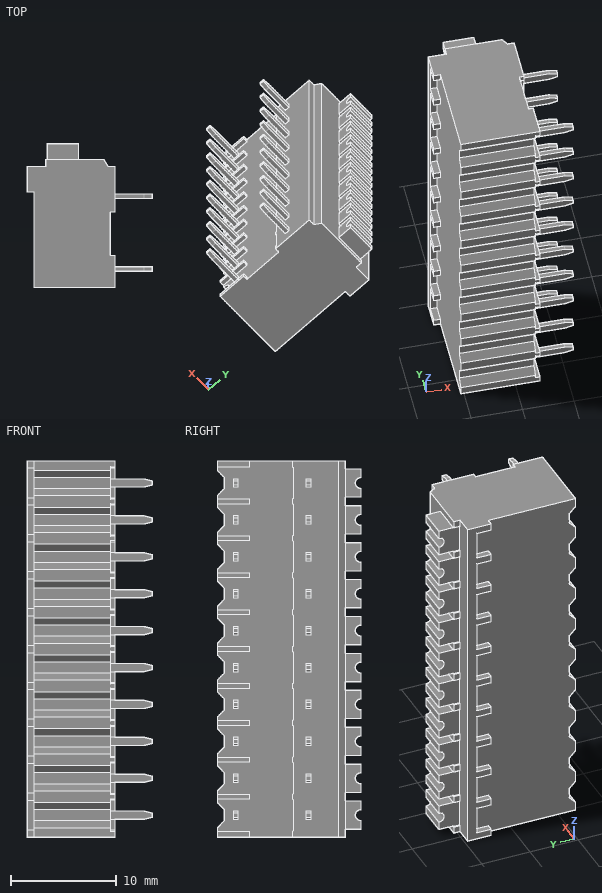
import cadquery as cq

POLE_COUNT = 10
PITCH = 3.5
RIB = 0.7
HEIGHT = POLE_COUNT * PITCH + RIB
WINDOW = PITCH - RIB
POLE_CENTRES = [(i + 0.5) * PITCH + RIB / 2 for i in range(POLE_COUNT)]

FRONT_X = 0.65
REAR_X = 8.35
SHOULDER_Y = 11.5
FLANGE_Y = 9.05
FLANGE_WINDOW_Y = 10.55
CREST_Y = 12.15
CREST_X0 = 1.77
CREST_X1 = 7.3
CREST_SLOPE_X = 7.7
RECESS_DEPTH = 0.45
RECESS_Y0 = 3.05
RECESS_Y1 = 7.15
RECESS_X = REAR_X - RECESS_DEPTH

GROOVE_DEPTH = 0.65
GROOVE_FLOOR = 1.05
GROOVE_MOUTH = 2.4

PIN_NOTCH = 3.05
SCALLOP_DEPTH = 0.1
SCALLOP_FLOOR = PIN_NOTCH - 2 * SCALLOP_DEPTH

LEVER_X0 = 1.9
LEVER_LENGTH = 3.0
LEVER_HEIGHT = 2.7
LEVER_Y = 13.65
LEVER_NOTCH_WIDTH = 1.0
LEVER_NOTCH_DEPTH = 0.55

PIN_END_X = 11.9
PIN_TAPER = 0.8
PIN_WIDTH = 0.8
PIN_TIP_WIDTH = 0.4
PIN_THICKNESS = 0.45
PIN_ROWS_Y = (1.75, 8.65)
PIN_EMBED = 1.0


def box(x0, x1, y0, y1, z_centre, height):
    """Axis-aligned block centred in Z on z_centre."""
    block = cq.Workplane("XY").box(x1 - x0, y1 - y0, height, centered=(False, False, True))
    return block.translate((x0, y0, z_centre))


def make_housing():
    outline = [
        (FRONT_X, 0),
        (REAR_X, 0),
        (REAR_X, RECESS_Y0),
        (RECESS_X, RECESS_Y0),
        (RECESS_X, RECESS_Y1),
        (REAR_X, RECESS_Y1),
        (REAR_X, SHOULDER_Y),
        (CREST_SLOPE_X, SHOULDER_Y),
        (CREST_X1, CREST_Y),
        (CREST_X0, CREST_Y),
        (CREST_X0, SHOULDER_Y),
        (0, SHOULDER_Y),
        (0, FLANGE_Y),
        (FRONT_X, FLANGE_Y),
    ]
    return cq.Workplane("XY").polyline(outline).close().extrude(HEIGHT)


def make_groove(z, x0, mouth_y, depth, mouth, floor):
    """Trapezoidal groove along X, sunk toward +Y from mouth_y up to the seating face."""
    outline = [
        (mouth_y, z - mouth / 2),
        (mouth_y + depth, z - floor / 2),
        (mouth_y + depth, z + floor / 2),
        (mouth_y, z + mouth / 2),
    ]
    groove_plane = cq.Workplane("YZ", origin=(x0, 0, 0))
    return groove_plane.polyline(outline).close().extrude(REAR_X - x0)


def make_pole_cuts(z):
    """Flange window, crest setback, pin relief, groove and recess scallop of one pole."""
    window = box(0, FRONT_X, FLANGE_Y, FLANGE_WINDOW_Y, z, WINDOW)
    crest_setback = box(CREST_X0, LEVER_X0, SHOULDER_Y, CREST_Y, z, WINDOW)
    pin_relief = box(RECESS_X, REAR_X, 0, RECESS_Y0, z, PIN_NOTCH)
    groove = make_groove(z, FRONT_X, 0, GROOVE_DEPTH, GROOVE_MOUTH, GROOVE_FLOOR)
    scallop = make_groove(z, RECESS_X, RECESS_Y1, SCALLOP_DEPTH, PIN_NOTCH, SCALLOP_FLOOR)
    return [window, crest_setback, pin_relief, groove, scallop]


def make_lever(z):
    """Push lever with a round screwdriver notch in its +Y end."""
    half_height = LEVER_HEIGHT / 2
    half_notch = LEVER_NOTCH_WIDTH / 2
    profile = (
        cq.Workplane("YZ", origin=(LEVER_X0, 0, 0))
        .moveTo(SHOULDER_Y, z - half_height)
        .lineTo(LEVER_Y, z - half_height)
        .lineTo(LEVER_Y, z - half_notch)
        .threePointArc((LEVER_Y - LEVER_NOTCH_DEPTH, z), (LEVER_Y, z + half_notch))
        .lineTo(LEVER_Y, z + half_height)
        .lineTo(SHOULDER_Y, z + half_height)
        .close()
    )
    return profile.extrude(LEVER_LENGTH)


def make_pin(y, z):
    """Flat pin along +X whose width tapers to a blunt tip."""
    start_x = RECESS_X - PIN_EMBED
    taper_x = PIN_END_X - PIN_TAPER
    outline = [
        (start_x, z - PIN_WIDTH / 2),
        (taper_x, z - PIN_WIDTH / 2),
        (PIN_END_X, z - PIN_TIP_WIDTH / 2),
        (PIN_END_X, z + PIN_TIP_WIDTH / 2),
        (taper_x, z + PIN_WIDTH / 2),
        (start_x, z + PIN_WIDTH / 2),
    ]
    pin_plane = cq.Workplane("XZ", origin=(0, y, 0))
    return pin_plane.polyline(outline).close().extrude(PIN_THICKNESS / 2, both=True)


result = make_housing()
for pole_z in POLE_CENTRES:
    for cutter in make_pole_cuts(pole_z):
        result = result.cut(cutter)
for pole_z in POLE_CENTRES:
    result = result.union(make_lever(pole_z))
    for row_y in PIN_ROWS_Y:
        result = result.union(make_pin(row_y, pole_z))